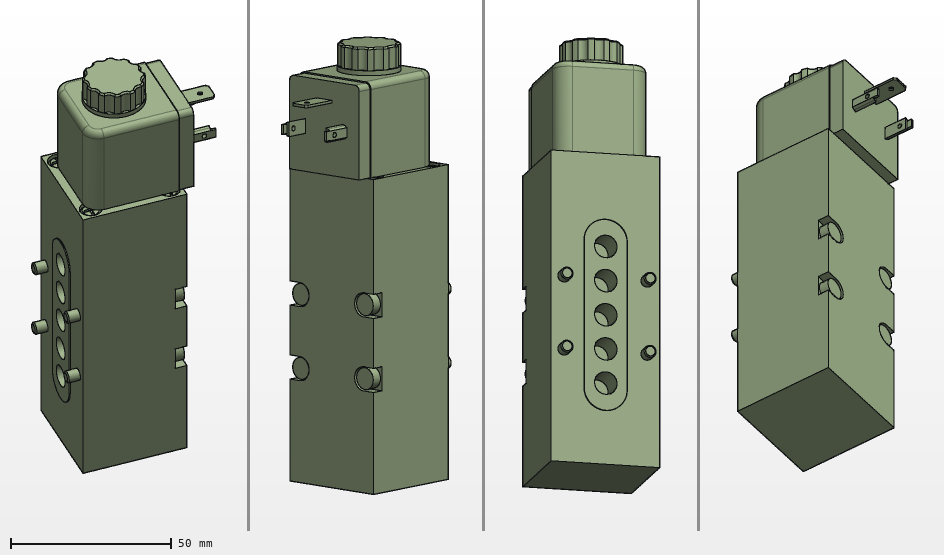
import cadquery as cq
import math

TOTAL_HEIGHT = 139.1

BLOCK_SIDE = 35.0
BLOCK_HEIGHT = 100.0
BLOCK_FRONT = -BLOCK_SIDE / 2
BLOCK_REAR = BLOCK_SIDE / 2

PORT_COUNT = 5
PORT_PITCH = 11.0
PORT_DIAMETER = 7.2
PORT_DEPTH = 11.1
PORT_FACE_CENTER_Z = 48.0
PAD_WIDTH = 13.9
PAD_LENGTH = 61.5
PAD_HEIGHT = 0.4

BOLT_SPACING_X = 26.8
BOLT_SPACING_Z = 23.5
BOLT_DIAMETER = 3.9
BOLT_PROTRUSION = 4.2
BOLT_TIP_CHAMFER = 0.4
BOLT_HEAD_DIAMETER = 7.0
BOLT_HEAD_RECESS = 0.5
BOLT_SLOT_HEIGHT = 7.7
BOLT_SLOT_DEPTH = 3.9

SCREW_SPACING = 26.4
SCREW_POCKET_RADIUS = 3.5
SCREW_POCKET_DEPTH = 2.1
SCREW_HEAD_RADIUS = 3.3
SCREW_HEAD_RIM_HEIGHT = 0.8
SCREW_HEAD_BEVEL = 0.7
SCREW_HEAD_DOME_HEIGHT = 0.4
CROSS_LENGTH = 4.2
CROSS_WIDTH = 0.8
CROSS_DEPTH = 1.0

COIL_WIDTH = 30.0
COIL_FRONT = -14.6
COIL_REAR = 16.0
COIL_TOP = 130.3
COIL_CORNER_RADIUS = 5.1
COIL_TOP_FILLET = 2.2

BASE_STEP = 0.4
BASE_REAR = 21.0

COLLAR_RADIUS = 10.0
COLLAR_HEIGHT = 1.5
GRIP_RADIUS = 9.9
GRIP_CHAMFER = 0.5
FLUTE_COUNT = 12
FLUTE_RADIUS = 2.1
FLUTE_FLOOR_RADIUS = 9.0

BLADE_THICKNESS = 0.8
BLADE_HOLE_DIAMETER = 1.5
EARTH_BLADE_WIDTH = 6.4
EARTH_BLADE_TIP_Y = 33.0
EARTH_BLADE_TIP_CHAMFER = 0.8
EARTH_BLADE_HOLE_Y = 29.1
EARTH_BLADE_Z = 123.5
SIDE_BLADE_OUTER_X = 9.5
SIDE_BLADE_HEIGHT = 3.0
SIDE_BLADE_TIP_Y = 30.6
SIDE_BLADE_HOLE_Y = 26.7
SIDE_BLADE_Z = 114.5
BACKING_HEIGHT = 4.7
BACKING_SHOULDER_HEIGHT = 4.2
BACKING_TIP_Y = 29.0


def box(x_min, x_max, y_min, y_max, z_min, z_max):
    size = (x_max - x_min, y_max - y_min, z_max - z_min)
    return cq.Workplane("XY").box(*size, centered=False).translate((x_min, y_min, z_min))


def rod_along_y(x, z, diameter, y_start, y_end):
    return (
        cq.Workplane("XZ", origin=(x, y_start, z))
        .circle(diameter / 2)
        .extrude(y_start - y_end)
    )


def port_pad():
    """Round-ended pad standing proud of the front face."""
    return (
        cq.Workplane("XZ", origin=(0, BLOCK_FRONT, PORT_FACE_CENTER_Z))
        .slot2D(PAD_LENGTH, PAD_WIDTH, 90)
        .extrude(PAD_HEIGHT)
    )


def ports():
    """Blind holes drilled through the pad into the block."""
    return (
        cq.Workplane("XZ", origin=(0, BLOCK_FRONT - PAD_HEIGHT, PORT_FACE_CENTER_Z))
        .rarray(1.4, PORT_PITCH, 1, PORT_COUNT)
        .circle(PORT_DIAMETER / 2)
        .extrude(-PORT_DEPTH)
    )


def bolt_slot(side, z):
    """Rear slot for a bolt head: round inside, open to the rear and to one side."""
    bolt_x = side * BOLT_SPACING_X / 2
    outer_x = side * BLOCK_SIDE / 2
    floor_y = BLOCK_REAR - BOLT_SLOT_DEPTH
    round_end = rod_along_y(bolt_x, z, BOLT_SLOT_HEIGHT, floor_y, BLOCK_REAR)
    side_opening = box(
        min(bolt_x, outer_x), max(bolt_x, outer_x),
        floor_y, BLOCK_REAR,
        z - BOLT_SLOT_HEIGHT / 2, z + BOLT_SLOT_HEIGHT / 2,
    )
    return round_end.union(side_opening)


def bolt_head(side, z):
    floor_y = BLOCK_REAR - BOLT_SLOT_DEPTH
    return rod_along_y(
        side * BOLT_SPACING_X / 2, z, BOLT_HEAD_DIAMETER, floor_y, BLOCK_REAR - BOLT_HEAD_RECESS
    )


def bolt_tip(side, z):
    tip_y = BLOCK_FRONT - BOLT_PROTRUSION
    tip = rod_along_y(side * BOLT_SPACING_X / 2, z, BOLT_DIAMETER, tip_y, BLOCK_FRONT)
    return tip.faces("<Y").chamfer(BOLT_TIP_CHAMFER)


def screw_pocket(x, y):
    floor_z = BLOCK_HEIGHT - SCREW_POCKET_DEPTH
    return cq.Workplane("XY", origin=(x, y, floor_z)).circle(SCREW_POCKET_RADIUS).extrude(SCREW_POCKET_DEPTH)


def screw_head(x, y):
    """Bevelled, slightly domed head with a cross recess, standing on the pocket floor."""
    crown_radius = SCREW_HEAD_RADIUS - SCREW_HEAD_BEVEL
    crown_z = SCREW_HEAD_RIM_HEIGHT + SCREW_HEAD_BEVEL
    top_z = crown_z + SCREW_HEAD_DOME_HEIGHT
    sphere_radius = (crown_radius**2 + SCREW_HEAD_DOME_HEIGHT**2) / (2 * SCREW_HEAD_DOME_HEIGHT)
    mid_x = crown_radius / 2
    mid_z = top_z - sphere_radius + math.sqrt(sphere_radius**2 - mid_x**2)
    head = (
        cq.Workplane("XZ")
        .lineTo(SCREW_HEAD_RADIUS, 0)
        .lineTo(SCREW_HEAD_RADIUS, SCREW_HEAD_RIM_HEIGHT)
        .lineTo(crown_radius, crown_z)
        .threePointArc((mid_x, mid_z), (0, top_z))
        .close()
        .revolve(360, (0, 0, 0), (0, 1, 0))
    )
    bar = box(
        -CROSS_LENGTH / 2, CROSS_LENGTH / 2,
        -CROSS_WIDTH / 2, CROSS_WIDTH / 2,
        top_z - CROSS_DEPTH, top_z,
    )
    cross = bar.union(bar.rotate((0, 0, 0), (0, 0, 1), 90))
    return head.cut(cross).translate((x, y, BLOCK_HEIGHT - SCREW_POCKET_DEPTH))


def make_valve_block():
    half = BLOCK_SIDE / 2
    block = box(-half, half, BLOCK_FRONT, BLOCK_REAR, 0, BLOCK_HEIGHT)
    block = block.union(port_pad()).cut(ports())
    for side in (-1, 1):
        for level in (-1, 1):
            bolt_z = PORT_FACE_CENTER_Z + level * BOLT_SPACING_Z / 2
            block = block.cut(bolt_slot(side, bolt_z))
            block = block.union(bolt_head(side, bolt_z))
            block = block.union(bolt_tip(side, bolt_z))
    for x in (-SCREW_SPACING / 2, SCREW_SPACING / 2):
        for y in (-SCREW_SPACING / 2, SCREW_SPACING / 2):
            block = block.cut(screw_pocket(x, y))
            block = block.union(screw_head(x, y))
    return block


def coil_housing():
    """Box with rounded front corners and a rounded edge along the top front and sides."""
    half = COIL_WIDTH / 2
    housing = box(-half, half, COIL_FRONT, COIL_REAR, BLOCK_HEIGHT, COIL_TOP)
    housing = housing.edges("|Z and <Y").fillet(COIL_CORNER_RADIUS)
    return housing.faces(">Z").edges("not >Y").fillet(COIL_TOP_FILLET)


def connector_base():
    half = COIL_WIDTH / 2 - BASE_STEP
    base = box(-half, half, COIL_REAR, BASE_REAR, BLOCK_HEIGHT, COIL_TOP - BASE_STEP)
    return base.faces(">Z").edges("|Y").fillet(COIL_TOP_FILLET - BASE_STEP)


def knurled_nut():
    """Round collar carrying a grip with evenly spaced round flutes."""
    collar_top = COIL_TOP + COLLAR_HEIGHT
    grip_height = TOTAL_HEIGHT - collar_top
    collar = cq.Workplane("XY", origin=(0, 0, COIL_TOP)).circle(COLLAR_RADIUS).extrude(COLLAR_HEIGHT)
    flutes = (
        cq.Workplane("XY", origin=(0, 0, collar_top))
        .polarArray(FLUTE_FLOOR_RADIUS + FLUTE_RADIUS, 0, 360, FLUTE_COUNT)
        .circle(FLUTE_RADIUS)
        .extrude(grip_height)
    )
    grip = (
        cq.Workplane("XY", origin=(0, 0, collar_top))
        .circle(GRIP_RADIUS)
        .extrude(grip_height)
        .cut(flutes)
        .faces(">Z")
        .chamfer(GRIP_CHAMFER)
    )
    return collar.union(grip)


def earth_blade():
    """Flat horizontal blade with cut tip corners and a hole."""
    half = EARTH_BLADE_WIDTH / 2
    blade = box(
        -half, half,
        BASE_REAR, EARTH_BLADE_TIP_Y,
        EARTH_BLADE_Z - BLADE_THICKNESS / 2, EARTH_BLADE_Z + BLADE_THICKNESS / 2,
    )
    blade = blade.edges("|Z and >Y").chamfer(EARTH_BLADE_TIP_CHAMFER)
    hole = (
        cq.Workplane("XY", origin=(0, EARTH_BLADE_HOLE_Y, EARTH_BLADE_Z))
        .circle(BLADE_HOLE_DIAMETER / 2)
        .extrude(BLADE_THICKNESS, both=True)
    )
    return blade.cut(hole)


def side_blade():
    """Upright blade on the +X side with a shorter, taller backing whose edges slope up to its inner face."""
    outer_x = SIDE_BLADE_OUTER_X
    joint_x = outer_x - BLADE_THICKNESS
    inner_x = joint_x - BLADE_THICKNESS
    half = SIDE_BLADE_HEIGHT / 2
    shoulder = BACKING_SHOULDER_HEIGHT / 2
    back = BACKING_HEIGHT / 2
    blade = box(joint_x, outer_x, BASE_REAR, SIDE_BLADE_TIP_Y, SIDE_BLADE_Z - half, SIDE_BLADE_Z + half)
    backing = (
        cq.Workplane("XZ", origin=(0, BASE_REAR, SIDE_BLADE_Z))
        .moveTo(outer_x, -half)
        .lineTo(outer_x, half)
        .lineTo(joint_x, shoulder)
        .lineTo(inner_x, back)
        .lineTo(inner_x, -back)
        .lineTo(joint_x, -shoulder)
        .close()
        .extrude(BASE_REAR - BACKING_TIP_Y)
    )
    hole = (
        cq.Workplane("YZ", origin=(inner_x, SIDE_BLADE_HOLE_Y, SIDE_BLADE_Z))
        .circle(BLADE_HOLE_DIAMETER / 2)
        .extrude(outer_x - inner_x)
    )
    return blade.union(backing).cut(hole)


def make_coil():
    right_blade = side_blade()
    left_blade = right_blade.mirror("YZ")
    coil = coil_housing().union(connector_base()).union(knurled_nut())
    return coil.union(earth_blade()).union(right_blade).union(left_blade)


valve_block = make_valve_block()
coil = make_coil()

result = cq.Compound.makeCompound([valve_block.solids().val(), coil.solids().val()])